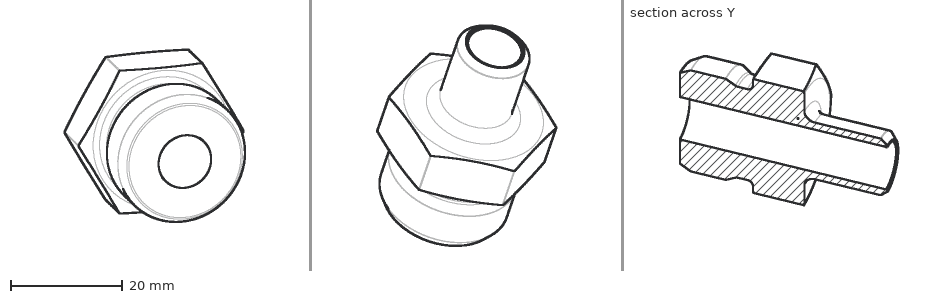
import cadquery as cq
import math

length = 40.0
hex_start = 16.0
hex_end = 26.0

bore_radius = 9.9 / 2
spigot_radius = 13.5 / 2
spigot_chamfer = 1.3
spigot_fillet = 2.0

across_flats = 27.0
across_corners = across_flats / math.cos(math.pi / 6)
hex_face_radius = 26.0 / 2
hex_chamfer_angle = math.radians(15)

thread_radius = 24.0 / 2
undercut_radius = 21.6 / 2
undercut_fillet = 1.0
thread_start = 31.15
thread_cone_angle = math.radians(30)
thread_chamfer_length = 2.1
runout_fillet = 1.0
end_rounding = 0.4

edge_rounding = 0.2
bore_chamfer = 0.3

edge_tolerance = 0.05


def revolve_about_x(profile):
    return profile.close().revolve(360, (0, 0, 0), (1, 0, 0))


def round_edge_at(body, x, radius):
    """Round the circular edge lying in the plane at the given X."""
    edge_box = cq.selectors.BoxSelector(
        (x - edge_tolerance, -length, -length),
        (x + edge_tolerance, length, length),
    )
    return body.edges("%CIRCLE").edges(edge_box).fillet(radius)


def make_spigot():
    fillet_start = hex_start - spigot_fillet
    flare_radius = spigot_radius + spigot_fillet
    profile = (
        cq.Workplane("XY")
        .lineTo(0, spigot_radius - spigot_chamfer)
        .lineTo(spigot_chamfer, spigot_radius)
        .lineTo(fillet_start, spigot_radius)
        .radiusArc((hex_start, flare_radius), -spigot_fillet)
        .lineTo(hex_end, flare_radius)
        .lineTo(hex_end, 0)
    )
    spigot = revolve_about_x(profile)
    return round_edge_at(spigot, spigot_chamfer, edge_rounding)


def make_hexagon():
    """Hexagon with flats facing up and down, both ends turned to a shallow cone."""
    width = hex_end - hex_start
    prism = (
        cq.Workplane("YZ", origin=(hex_start, 0, 0))
        .polygon(6, across_corners)
        .extrude(width)
        .edges("|X")
        .fillet(edge_rounding)
    )
    cone_length = width / 2
    cone_radius = hex_face_radius + cone_length / math.tan(hex_chamfer_angle)
    envelope = revolve_about_x(
        cq.Workplane("XY")
        .moveTo(hex_start, 0)
        .lineTo(hex_start, hex_face_radius)
        .lineTo(hex_start + cone_length, cone_radius)
        .lineTo(hex_end, hex_face_radius)
        .lineTo(hex_end, 0)
    )
    return prism.intersect(envelope)


def make_threaded_end():
    flare_radius = undercut_radius + undercut_fillet
    cone_slope = math.tan(thread_cone_angle)
    undercut_end = thread_start - (thread_radius - undercut_radius) / cone_slope
    chamfer_start = length - thread_chamfer_length
    end_radius = thread_radius - thread_chamfer_length * cone_slope
    profile = (
        cq.Workplane("XY")
        .moveTo(hex_end, 0)
        .lineTo(hex_end, flare_radius)
        .radiusArc((hex_end + undercut_fillet, undercut_radius), -undercut_fillet)
        .lineTo(undercut_end, undercut_radius)
        .lineTo(thread_start, thread_radius)
        .lineTo(chamfer_start, thread_radius)
        .lineTo(length, end_radius)
        .lineTo(length, 0)
    )
    body = revolve_about_x(profile)
    body = round_edge_at(body, undercut_end, runout_fillet)
    body = round_edge_at(body, thread_start, edge_rounding)
    body = round_edge_at(body, chamfer_start, edge_rounding)
    return round_edge_at(body, length, end_rounding)


def make_bore():
    """Through bore, widened by a small chamfer at the spigot mouth."""
    profile = (
        cq.Workplane("XY")
        .lineTo(0, bore_radius + bore_chamfer)
        .lineTo(bore_chamfer, bore_radius)
        .lineTo(length, bore_radius)
        .lineTo(length, 0)
    )
    return revolve_about_x(profile)


result = make_spigot().union(make_hexagon()).union(make_threaded_end()).cut(make_bore())